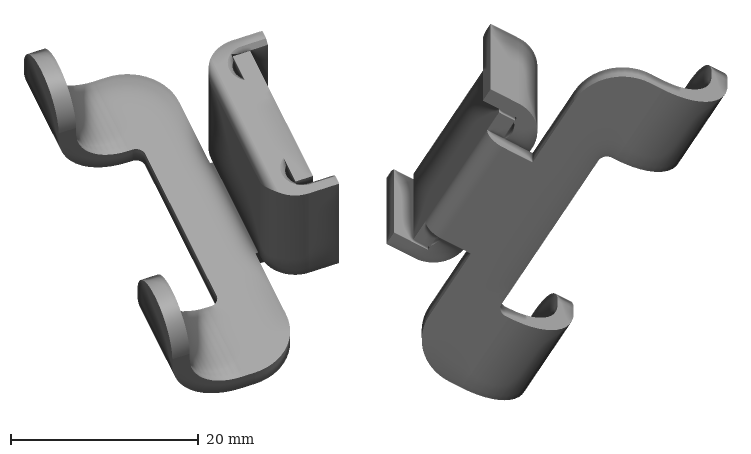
import cadquery as cq

thickness = 2.0
width = 42.5
strip_front = 9.5
strip_rear = 15.45
strip_outer_radius = 5.95
strip_inner_radius = 1.05

hook_width = 10.0
hook_height = 14.02
bend_radius = 8.0

cover_width = 22.0
cover_front = 15.8
cover_rear = 23.3
cover_top = 16.0
cover_corner_radius = 4.0
cover_edge_radius = 1.0

tongue_width = 18.0
tongue_rear = 21.08
tongue_front = tongue_rear - thickness
neck_width = 13.0
neck_bend_radius = 1.95

channel_width = 18.8
channel_chamfer = 0.5
relief_radius = 1.85
relief_x = channel_width / 2 - relief_radius
relief_y = 20.5

cover_height = cover_top - thickness


def box(x_size, y_min, y_max, z_min, z_max):
    """Block centred on X between the given Y and Z limits."""
    block = cq.Workplane("XY").box(x_size, y_max - y_min, z_max - z_min, centered=(True, False, False))
    return block.translate((0, y_min, z_min))


def hooked_strip():
    """L-shaped side profile trimmed by the plan outline and the rounded hook ends."""
    inner_bend = bend_radius - thickness
    profile = (
        cq.Workplane("YZ", origin=(-width / 2, 0, 0))
        .moveTo(strip_rear, 0)
        .lineTo(bend_radius, 0)
        .radiusArc((0, bend_radius), bend_radius)
        .lineTo(0, hook_height)
        .lineTo(thickness, hook_height)
        .lineTo(thickness, bend_radius)
        .radiusArc((bend_radius, thickness), -inner_bend)
        .lineTo(strip_rear, thickness)
        .close()
        .extrude(width)
    )
    plan = box(width, 0, strip_rear, 0, hook_height)
    plan = plan.edges("|Z and >Y").fillet(strip_outer_radius)
    opening = box(width - 2 * hook_width, -strip_front, strip_front, 0, hook_height)
    opening = opening.edges("|Z and >Y").fillet(strip_inner_radius)

    end_radius = hook_width / 2
    end_center_z = hook_height - end_radius
    hook_center_x = (width - hook_width) / 2
    silhouette = box(width, 0, strip_rear, 0, end_center_z)
    for side in (-1, 1):
        round_end = (
            cq.Workplane("XZ", origin=(side * hook_center_x, 0, end_center_z))
            .circle(end_radius)
            .extrude(-strip_rear)
        )
        silhouette = silhouette.union(round_end)
    return profile.intersect(plan.cut(opening)).intersect(silhouette)


def channel():
    """Space behind the cover, opening to the rear and chamfered along its top rim."""
    space = box(channel_width, tongue_front, cover_rear, thickness, cover_top)
    flare = (
        cq.Workplane("XZ", origin=(0, relief_y, 0))
        .moveTo(-channel_width / 2, cover_top - channel_chamfer)
        .lineTo(channel_width / 2, cover_top - channel_chamfer)
        .lineTo(channel_width / 2 + channel_chamfer, cover_top)
        .lineTo(-channel_width / 2 - channel_chamfer, cover_top)
        .close()
        .extrude(relief_y - cover_rear)
    )
    space = space.union(flare)
    for side in (-1, 1):
        relief = (
            cq.Workplane("XY", origin=(side * relief_x, relief_y, thickness))
            .circle(relief_radius)
            .extrude(cover_height)
        )
        rim = cq.Solid.makeCone(
            relief_radius,
            relief_radius + channel_chamfer,
            channel_chamfer,
            pnt=cq.Vector(side * relief_x, relief_y, cover_top - channel_chamfer),
        )
        space = space.union(relief).union(cq.Workplane(obj=rim))
    return space


def cover():
    """Channel-shaped cover with rounded vertical corners and a rounded top front edge."""
    body = box(cover_width, cover_front, cover_rear, thickness, cover_top)
    body = body.edges("|Z and <Y").fillet(cover_corner_radius)
    rounding = box(cover_width, cover_front, cover_rear, thickness, cover_top)
    rounding = rounding.edges("<Y and >Z").fillet(cover_edge_radius)
    return body.intersect(rounding).cut(channel())


def tongue():
    """Upright plate bent up from the narrow neck behind the strip."""
    neck = box(neck_width, strip_front, tongue_rear, 0, thickness)
    neck = neck.edges(">Y and <Z").fillet(neck_bend_radius)
    plate = box(tongue_width, tongue_front, tongue_rear, thickness, cover_top)
    return neck.union(plate)


result = hooked_strip().union(tongue()).union(cover())